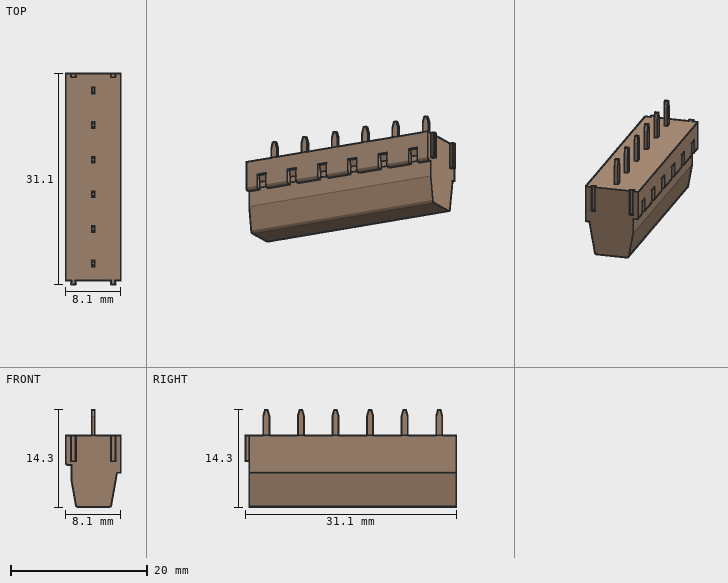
import cadquery as cq
import math

pole_count = 6
body_length = 30.5
pitch = body_length / pole_count
total_length = 31.08
tail_length = total_length - body_length

body_width = 8.1
body_height = 10.55
half_width = body_width / 2
left_ledge_height = 6.2
left_ledge_depth = 0.85
right_ledge_height = 5.05
right_ledge_depth = 0.55
left_taper_height = 3.92
taper_angle = 10
left_ledge_radius = 0.35
right_ledge_radius = 0.15
bottom_radius = 0.37

pin_thickness = 0.5
pin_width = 0.93
pin_tip_width = 0.4
pin_height = 3.75
pin_tip_height = 0.93

pocket_width = 1.43
pocket_top = 8.33
pocket_back_top = 7.4
pocket_back_lean = 0.3
pocket_sill_height = left_ledge_height + left_ledge_radius
pocket_sill_depth = 0.03

dovetail_spacing = 5.85
dovetail_height = 3.75
dovetail_neck_width = 0.55
dovetail_wide_width = 0.78
dovetail_neck_length = 0.1
dovetail_wide_length = 0.47

dovetail_positions = [-dovetail_spacing / 2, dovetail_spacing / 2]
pole_positions = [(pole + 0.5) * pitch for pole in range(pole_count)]


def make_body():
    """Extrude the stepped and tapered cross-section along Y, then round its lower edges."""
    taper_slope = math.tan(math.radians(taper_angle))
    left_wall = -half_width + left_ledge_depth
    right_wall = half_width - right_ledge_depth
    outline = [
        (-half_width, body_height),
        (-half_width, left_ledge_height),
        (left_wall, left_ledge_height),
        (left_wall, left_taper_height),
        (left_wall + left_taper_height * taper_slope, 0),
        (right_wall - right_ledge_height * taper_slope, 0),
        (right_wall, right_ledge_height),
        (half_width, right_ledge_height),
        (half_width, body_height),
    ]
    body = cq.Workplane("XZ").polyline(outline).close().extrude(-body_length)
    body = body.faces("<Z").edges("|Y").fillet(bottom_radius)
    middle_y = body_length / 2
    left_ledge_corner = (-half_width, middle_y, left_ledge_height)
    right_ledge_corner = (half_width, middle_y, right_ledge_height)
    body = body.edges(cq.NearestToPointSelector(left_ledge_corner)).fillet(left_ledge_radius)
    return body.edges(cq.NearestToPointSelector(right_ledge_corner)).fillet(right_ledge_radius)


def make_pin(y):
    """Flat pin standing on the top face, tapered across Y at its tip."""
    shoulder = body_height + pin_height - pin_tip_height
    outline = [
        (y - pin_width / 2, body_height),
        (y + pin_width / 2, body_height),
        (y + pin_width / 2, shoulder),
        (y + pin_tip_width / 2, body_height + pin_height),
        (y - pin_tip_width / 2, body_height + pin_height),
        (y - pin_width / 2, shoulder),
    ]
    return cq.Workplane("YZ").polyline(outline).close().extrude(pin_thickness / 2, both=True)


def make_pocket(y):
    """Notch open downward through the left ledge, with a small sill and a back leaning out at the top."""
    lower_wall_x = -half_width + left_ledge_depth
    back_x = lower_wall_x + pocket_sill_depth
    outline = [
        (-half_width, left_ledge_height),
        (lower_wall_x, left_ledge_height),
        (lower_wall_x, pocket_sill_height),
        (back_x, pocket_sill_height),
        (back_x, pocket_back_top),
        (back_x - pocket_back_lean, pocket_top),
        (-half_width, pocket_top),
    ]
    profile = cq.Workplane("XZ", origin=(0, y, 0)).polyline(outline).close()
    return profile.extrude(pocket_width / 2, both=True)


def make_dovetail(x, face_y):
    """Vertical dovetail bar growing toward -Y from the plane Y = face_y, flush with the top face."""
    half_profile = [
        (dovetail_neck_width / 2, 0),
        (dovetail_neck_width / 2, dovetail_neck_length),
        (dovetail_wide_width / 2, dovetail_wide_length),
        (dovetail_neck_width / 2, tail_length),
    ]
    right_side = [(x + across, face_y - along) for across, along in half_profile]
    left_side = [(x - across, face_y - along) for across, along in reversed(half_profile)]
    profile = cq.Workplane("XY", origin=(0, 0, body_height)).polyline(right_side + left_side)
    return profile.close().extrude(-dovetail_height)


result = make_body()
for pole_y in pole_positions:
    result = result.cut(make_pocket(pole_y)).union(make_pin(pole_y))
for dovetail_x in dovetail_positions:
    result = result.cut(make_dovetail(dovetail_x, body_length))
    result = result.union(make_dovetail(dovetail_x, 0))